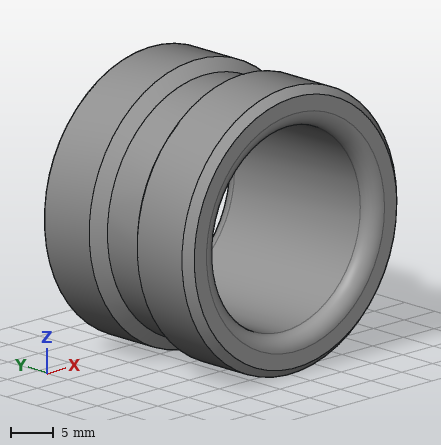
import cadquery as cq

outer_diameter = 35.0
bore_diameter = 25.0
length = 25.0
edge_chamfer = 1.0
mouth_radius = 2.0
groove_depth = 1.5
groove_floor_width = 5.0

outer_radius = outer_diameter / 2
bore_radius = bore_diameter / 2
groove_mouth_width = groove_floor_width + 2 * groove_depth


def make_sleeve():
    """Plain tube along Y, centred on the origin, with chamfered outer rims and rounded bore mouths."""
    body = cq.Workplane("XZ").circle(outer_radius).extrude(length / 2, both=True)
    body = body.faces("<Y or >Y").edges().chamfer(edge_chamfer)
    bore = cq.Workplane("XZ").circle(bore_radius).extrude(length / 2, both=True)
    sleeve = body.cut(bore)
    mouth_edges = sleeve.edges(cq.selectors.RadiusNthSelector(0))
    return sleeve.newObject(mouth_edges.vals()).fillet(mouth_radius)


def make_groove():
    """Ring with a trapezoid section that cuts the groove at mid length."""
    floor_radius = outer_radius - groove_depth
    return (
        cq.Workplane("XY")
        .moveTo(floor_radius, -groove_floor_width / 2)
        .lineTo(outer_radius, -groove_mouth_width / 2)
        .lineTo(outer_radius + groove_depth, -groove_mouth_width / 2)
        .lineTo(outer_radius + groove_depth, groove_mouth_width / 2)
        .lineTo(outer_radius, groove_mouth_width / 2)
        .lineTo(floor_radius, groove_floor_width / 2)
        .close()
        .revolve(360, (0, 0, 0), (0, 1, 0))
    )


result = make_sleeve().cut(make_groove())